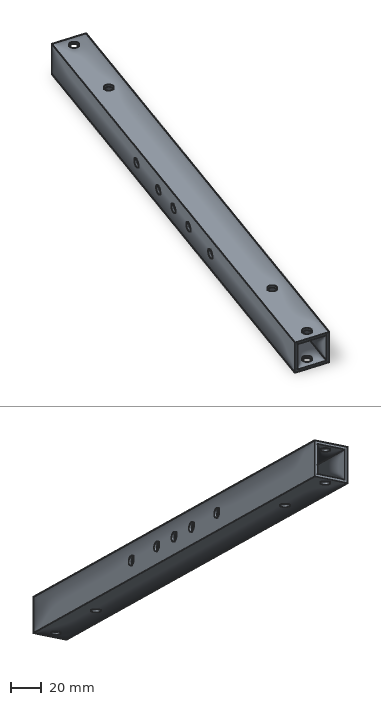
import cadquery as cq

length = 350.0
side = 25.0
wall = 2.0
hole_diameter = 6.5

inner_side_offset = 21.7
outer_side_offset = 53.2
inner_top_offset = 117.5
end_margin = 7.5
outer_top_offset = length / 2 - end_margin

side_hole_places = [
    (-outer_side_offset, 0),
    (-inner_side_offset, 0),
    (0, 0),
    (inner_side_offset, 0),
    (outer_side_offset, 0),
]
top_hole_places = [
    (-outer_top_offset, 0),
    (-inner_top_offset, 0),
    (inner_top_offset, 0),
    (outer_top_offset, 0),
]


def square_tube():
    bore_side = side - 2 * wall
    outside = cq.Workplane("XY").box(length, side, side)
    bore = cq.Workplane("XY").box(length, bore_side, bore_side)
    return outside.cut(bore)


def through_holes(plane, places):
    """Cylinders along the plane's normal that pass through both walls."""
    return (
        cq.Workplane(plane)
        .pushPoints(places)
        .circle(hole_diameter / 2)
        .extrude(side, both=True)
    )


side_holes = through_holes("XZ", side_hole_places)
top_holes = through_holes("XY", top_hole_places)
result = square_tube().cut(side_holes).cut(top_holes)